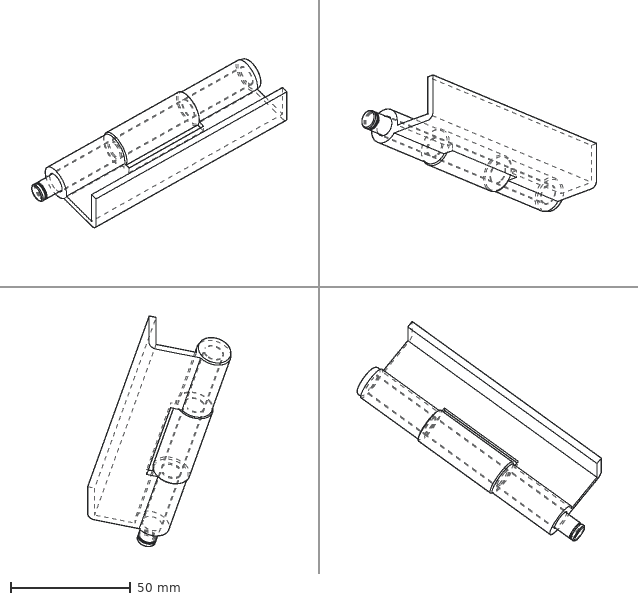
import cadquery as cq


leaf_length = 100.0
plate_thickness = 3.0
plate_bottom = -4.9
flange_outer_x = 28.0
flange_top = 15.0
bend_radius = 3.0
leaf_knuckle_radius = 7.5
notch_length = 39.0
notch_edge_x = 10.5

middle_knuckle_radius = 8.0
middle_knuckle_length = 38.0
middle_knuckle_back_gap = 0.3
bore_radius = 4.3

pin_radius = 4.0
pin_protrusion = 10.1
pin_tip_chamfer = 0.5
groove_radius = 3.5
groove_width = 0.7
groove_to_tip = 2.5
head_radius = 7.0
head_thickness = 2.9

leaf_front = -leaf_length / 2
leaf_back = leaf_length / 2


def cylinder(radius, front, length):
    """Cylinder on the hinge axis, from Y = front toward +Y."""
    return cq.Workplane("XZ", origin=(0, front, 0)).circle(radius).extrude(-length)


def make_leaf():
    plate_top = plate_bottom + plate_thickness
    flange_inner_x = flange_outer_x - plate_thickness
    angle = (
        cq.Workplane("XZ", origin=(0, leaf_front, 0))
        .moveTo(0, plate_bottom)
        .lineTo(flange_outer_x - bend_radius, plate_bottom)
        .radiusArc((flange_outer_x, plate_bottom + bend_radius), -bend_radius)
        .lineTo(flange_outer_x, flange_top)
        .lineTo(flange_inner_x, flange_top)
        .lineTo(flange_inner_x, plate_top)
        .lineTo(leaf_knuckle_radius, plate_top)
        .lineTo(leaf_knuckle_radius, 0)
        .lineTo(0, 0)
        .close()
        .extrude(-leaf_length)
    )
    barrel = cylinder(leaf_knuckle_radius, leaf_front, leaf_length)
    notch = cq.Workplane("XY").box(2 * notch_edge_x, notch_length, 2 * notch_edge_x)
    bore = cylinder(bore_radius, leaf_front, leaf_length)
    return angle.union(barrel).cut(notch).cut(bore)


def make_middle_knuckle():
    front = notch_length / 2 - middle_knuckle_back_gap - middle_knuckle_length
    barrel = cylinder(middle_knuckle_radius, front, middle_knuckle_length)
    return barrel.cut(cylinder(bore_radius, front, middle_knuckle_length))


def make_pin_head():
    """Disc behind the leaf with a fully rounded rim."""
    rim_radius = head_thickness / 2
    flat_radius = head_radius - rim_radius
    head_back = leaf_back + head_thickness
    return (
        cq.Workplane("XY")
        .moveTo(0, leaf_back)
        .lineTo(flat_radius, leaf_back)
        .threePointArc((head_radius, leaf_back + rim_radius), (flat_radius, head_back))
        .lineTo(0, head_back)
        .close()
        .revolve(360, (0, 0, 0), (0, 1, 0))
    )


def make_pin():
    tip = leaf_front - pin_protrusion
    shank = cylinder(pin_radius, tip, leaf_back - tip).faces("<Y").chamfer(pin_tip_chamfer)
    groove_front = tip + groove_to_tip - groove_width
    groove = cylinder(pin_radius, groove_front, groove_width).cut(
        cylinder(groove_radius, groove_front, groove_width)
    )
    return shank.cut(groove).union(make_pin_head())


leaf = make_leaf()
middle_knuckle = make_middle_knuckle()
pin = make_pin()

result = cq.Compound.makeCompound([leaf.val(), middle_knuckle.val(), pin.val()])